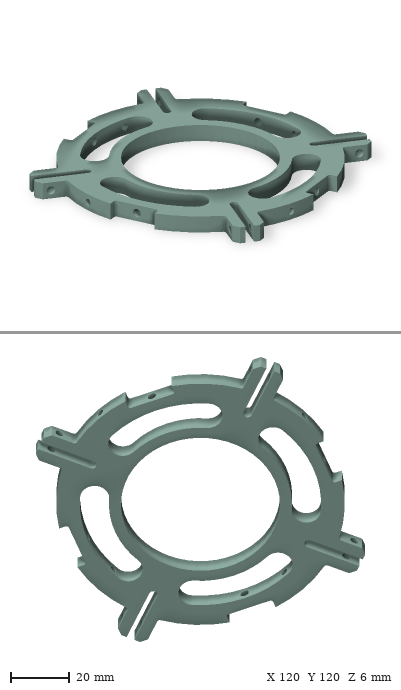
import cadquery as cq
import math

span = 120.0
thickness = 6.0
arm_count = 4
pitch_angle = 360 / arm_count
arm_angles = [i * pitch_angle for i in range(arm_count)]
diagonal_angles = [angle + pitch_angle / 2 for angle in arm_angles]

ring_radius = 49.5
bore_radius = 27.2

arm_width = 11.2
arm_tip_chamfer = 2.0
arm_root_fillet = 1.0
arm_slot_width = 3.0
arm_slot_bottom = 39.0
clamp_hole_diameter = 3.0
clamp_hole_inset = 4.9

window_mid_radius = 36.4
window_width = 10.0
window_end_offset = 19.5

notch_floor = 45.5
notch_width = 17.0
notch_corner_fillet = 1.0

notch_hole_diameter = 3.0
rim_hole_diameter = 2.5
rim_hole_offset = 22.5


def point_at(radius, degrees):
    angle = math.radians(degrees)
    return (radius * math.cos(angle), radius * math.sin(angle))


def turned(shape, degrees):
    return shape.rotate((0, 0, 0), (0, 0, 1), degrees)


def centred_disc(radius):
    return cq.Workplane("XY").circle(radius).extrude(thickness / 2, both=True)


def arm_root_edges(body):
    """Upright edges where the arm sides meet the rim."""
    half_width = arm_width / 2
    root = math.sqrt(ring_radius**2 - half_width**2)
    corners = [(x, y) for x in (root, -root) for y in (half_width, -half_width)]
    corners += [(y, x) for x, y in corners]
    tolerance = 0.01

    def is_root(edge):
        centre = edge.Center()
        return any(math.hypot(centre.x - x, centre.y - y) < tolerance for x, y in corners)

    roots = [edge for edge in body.edges("|Z").vals() if is_root(edge)]
    return body.newObject(roots)


def arm_bar():
    """Bar across the whole part that forms two opposite arms."""
    return cq.Workplane("XY").box(span, arm_width, thickness).edges("|Z").chamfer(arm_tip_chamfer)


def arm_slot():
    """Slot along +X, open at the tip and rounded at its inner end."""
    end_radius = arm_slot_width / 2
    end_centre = arm_slot_bottom + end_radius
    return (
        cq.Workplane("XY")
        .moveTo(span, end_radius)
        .lineTo(end_centre, end_radius)
        .threePointArc((arm_slot_bottom, 0), (end_centre, -end_radius))
        .lineTo(span, -end_radius)
        .close()
        .extrude(thickness, both=True)
    )


def clamp_hole():
    """Hole across the arm on +X."""
    return (
        cq.Workplane("XZ")
        .center(span / 2 - clamp_hole_inset, 0)
        .circle(clamp_hole_diameter / 2)
        .extrude(arm_width, both=True)
    )


def window():
    """Round-ended curved window centred on +X."""
    half_sweep = pitch_angle / 2 - window_end_offset
    inner = window_mid_radius - window_width / 2
    outer = window_mid_radius + window_width / 2
    band = (
        cq.Workplane("XY")
        .moveTo(*point_at(inner, -half_sweep))
        .threePointArc((inner, 0), point_at(inner, half_sweep))
        .lineTo(*point_at(outer, half_sweep))
        .threePointArc((outer, 0), point_at(outer, -half_sweep))
        .close()
        .extrude(thickness, both=True)
    )
    ends = (
        cq.Workplane("XY")
        .pushPoints([point_at(window_mid_radius, side * half_sweep) for side in (1, -1)])
        .circle(window_width / 2)
        .extrude(thickness, both=True)
    )
    return band.union(ends)


def notch():
    """Flat-floored rim notch on +X with filleted floor corners."""
    depth = span / 2 - notch_floor
    return (
        cq.Workplane("XY")
        .box(depth, notch_width, 2 * thickness)
        .translate((notch_floor + depth / 2, 0, 0))
        .edges("|Z and <X")
        .fillet(notch_corner_fillet)
    )


def radial_hole(diameter):
    """Hole along +X from outside the rim to the middle of a window."""
    return (
        cq.Workplane("YZ", origin=(window_mid_radius, 0, 0))
        .circle(diameter / 2)
        .extrude(span / 2 - window_mid_radius)
    )


result = centred_disc(ring_radius).union(arm_bar()).union(turned(arm_bar(), pitch_angle))
result = arm_root_edges(result).fillet(arm_root_fillet)
result = result.cut(centred_disc(bore_radius))

for angle in arm_angles:
    result = result.cut(turned(arm_slot(), angle))
    result = result.cut(turned(clamp_hole(), angle))
    result = result.cut(turned(radial_hole(rim_hole_diameter), angle + rim_hole_offset))

for angle in diagonal_angles:
    result = result.cut(turned(window(), angle))
    result = result.cut(turned(notch(), angle))
    result = result.cut(turned(radial_hole(notch_hole_diameter), angle))